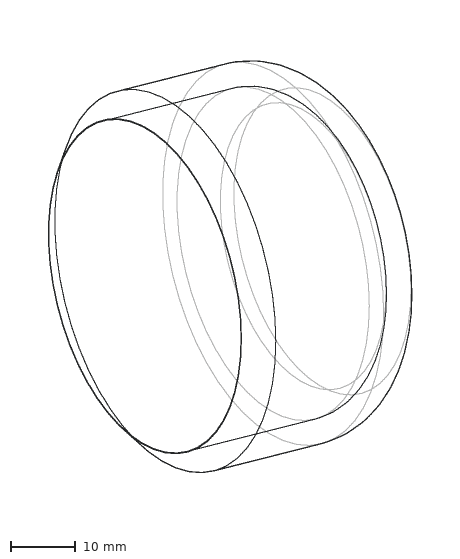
import cadquery as cq
import math

outer_radius = 30.15
total_length = 38.1
wall = 3.9
skirt_end = 23.9
shoulder_radius = 10.0
bevel_length = 3.8
rim_land = 0.1

dome_height = total_length - skirt_end
shoulder_centre = outer_radius - shoulder_radius
crown_radius = (shoulder_centre**2 + dome_height**2 - shoulder_radius**2) / (
    2 * (dome_height - shoulder_radius)
)
crown_centre = total_length - crown_radius
tangent_angle = math.asin(shoulder_centre / (crown_radius - shoulder_radius))


def shoulder_point(inset, angle):
    """Point on the shoulder, inset from the outside, at an angle from the axis."""
    radius = shoulder_radius - inset
    return (
        shoulder_centre + radius * math.sin(angle),
        skirt_end + radius * math.cos(angle),
    )


def crown_point(inset, angle):
    """Point on the crown, inset from the outside, at an angle from the axis."""
    radius = crown_radius - inset
    return (radius * math.sin(angle), crown_centre + radius * math.cos(angle))


shoulder_middle = (tangent_angle + math.pi / 2) / 2
crown_middle = tangent_angle / 2
bore_radius = outer_radius - wall

profile = (
    cq.Workplane("XY")
    .moveTo(bore_radius, 0)
    .lineTo(bore_radius + rim_land, 0)
    .lineTo(outer_radius, bevel_length)
    .lineTo(outer_radius, skirt_end)
    .threePointArc(shoulder_point(0, shoulder_middle), shoulder_point(0, tangent_angle))
    .threePointArc(crown_point(0, crown_middle), crown_point(0, 0))
    .lineTo(*crown_point(wall, 0))
    .threePointArc(crown_point(wall, crown_middle), crown_point(wall, tangent_angle))
    .threePointArc(shoulder_point(wall, shoulder_middle), (bore_radius, skirt_end))
    .close()
)

result = profile.revolve(360, (0, 0, 0), (0, 1, 0))